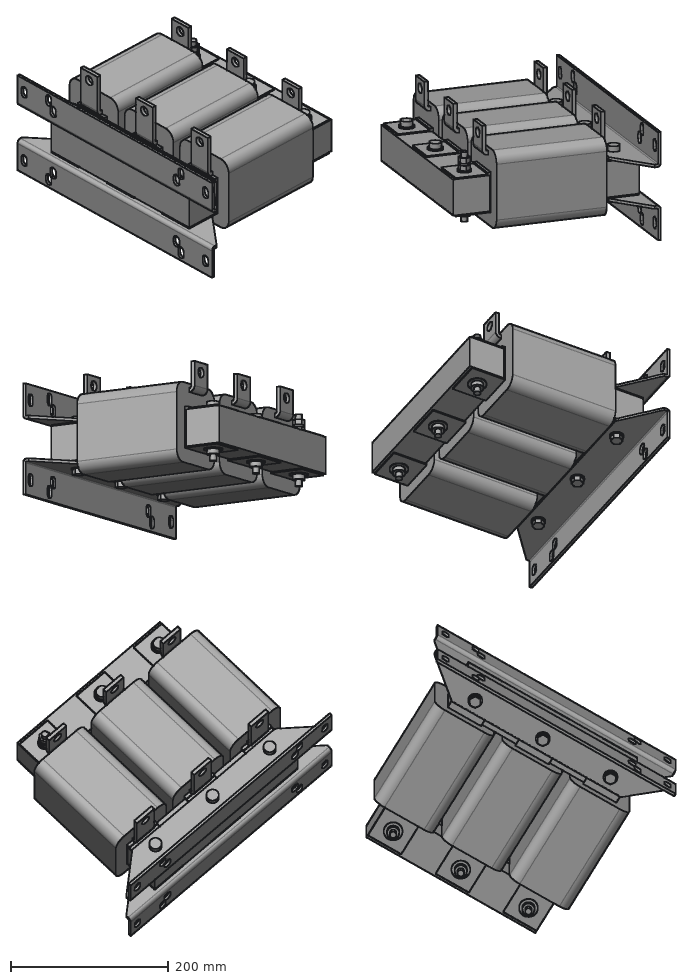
import cadquery as cq
import math


LEG_PITCH = 100.0
YOKE_DEPTH = 50.0
YOKE_OVERHANG = 0.5
LEG_WIDTH = YOKE_DEPTH - 2 * YOKE_OVERHANG
CORE_HEIGHT = 48.0
CORE_FRONT = 9.5
CORE_BACK = 263.5
CORE_LENGTH = 2 * (LEG_PITCH + YOKE_OVERHANG) + LEG_WIDTH
CORE_TOP = CORE_HEIGHT / 2
CORE_MIDDLE = (CORE_FRONT + CORE_BACK) / 2
LEG_CENTRES = (-LEG_PITCH, 0, LEG_PITCH)
FRONT_BOLT_Y = CORE_FRONT + YOKE_DEPTH / 2
REAR_BOLT_Y = CORE_BACK - YOKE_DEPTH / 2

STRIP_THICKNESS = 1.8
STRIP_FRONT = 10.0
STRIP_BACK = 260.0
STRIP_TOP = CORE_TOP + STRIP_THICKNESS

COIL_WIDTH = 88
COIL_LENGTH = 150.5
COIL_TOP = 59.0
COIL_BOTTOM = -44.7
COIL_RADIUS = 14.8
COIL_FRONT = CORE_MIDDLE - COIL_LENGTH / 2
COIL_BACK = CORE_MIDDLE + COIL_LENGTH / 2
LIP_REACH = 4.5
LIP_THICKNESS = 2.0

TAB_WIDTH = 30.3
TAB_THICKNESS = 5.3
TAB_TOP = 87.5
TAB_REACH = 8.5
TAB_BEND_RADIUS = 7.7
TAB_HOLE_DIAMETER = 12.5
TAB_HOLE_DROP = 12.5
TAB_OVERLAP = 3.5
FRONT_TAB_BOTTOM = STRIP_TOP + LIP_THICKNESS
REAR_TAB_BOTTOM = 48.2

BRACKET_LENGTH = 352
BRACKET_THICKNESS = 4.0
BRACKET_BEND_RADIUS = 5.3
FLANGE_EDGE = 71.8
SHEET_BACK = 51.0
TAPER_FRONT = 8.5
SLOT_LENGTH = 16.0
FLANGE_SLOTS = (
    (164.0, 51.7, 9.5),
    (119.7, 60, 9.5),
    (111.5, 46.5, 10.5),
)

BOLT_DIAMETER = 8.5
HEAD_DIAMETER = 16.0
HEAD_HEIGHT = 7.5
NUT_FLATS = 13.5
NUT_HEIGHT = 7
THIN_WASHER = 1.0
THICK_WASHER = 1.8
FRONT_WASHER_DIAMETER = 18.0
REAR_WASHER_DIAMETER = 20.5
LOWER_WASHER_DIAMETER = 24.0
SPACER_DIAMETER = 16.0
SPACER_HEIGHT = 2.8
LOWER_COLLAR_HEIGHT = 6.5
STUD_TOP = 51.5
STUD_BOTTOM = -41.2


def block(x, width, y_start, y_end, z_start, z_end):
    """Box centred on x, between the given Y and Z limits."""
    size = (width, y_end - y_start, z_end - z_start)
    corner = (x - width / 2, y_start, z_start)
    return cq.Workplane("XY").box(*size, centered=False).translate(corner)


def disc(x, y, z, diameter, height):
    """Upright cylinder standing on z."""
    return cq.Workplane("XY", origin=(x, y, z)).circle(diameter / 2).extrude(height)


def nut(x, y, z):
    """Upright hexagon standing on z, with two corners along X."""
    corner_diameter = NUT_FLATS / math.cos(math.pi / 6)
    return cq.Workplane("XY", origin=(x, y, z)).polygon(6, corner_diameter).extrude(NUT_HEIGHT)


def round_edge(body, midpoint, radius):
    """Fillet the edge whose middle is at the given point."""
    return body.edges(cq.selectors.NearestToPointSelector(midpoint)).fillet(radius)


def make_core():
    """Front and rear yokes joined by three legs."""
    core = block(0, CORE_LENGTH, CORE_FRONT, CORE_FRONT + YOKE_DEPTH, -CORE_TOP, CORE_TOP)
    core = core.union(block(0, CORE_LENGTH, CORE_BACK - YOKE_DEPTH, CORE_BACK, -CORE_TOP, CORE_TOP))
    for x in LEG_CENTRES:
        core = core.union(block(x, LEG_WIDTH, STRIP_FRONT, STRIP_BACK, -STRIP_TOP, STRIP_TOP))
    return core


def make_coil(x):
    """Rounded coil around a leg, with a thin lip above the strip at each end."""
    coil = block(x, COIL_WIDTH, COIL_FRONT, COIL_BACK, COIL_BOTTOM, COIL_TOP)
    coil = coil.edges("|Y").fillet(COIL_RADIUS)
    lip = block(
        x, LEG_WIDTH, COIL_FRONT - LIP_REACH, COIL_BACK + LIP_REACH, STRIP_TOP, STRIP_TOP + LIP_THICKNESS
    )
    return coil.union(lip)


def make_tab(x, bottom):
    """Bent terminal tab leaving the front face of a coil, with its foot at the given height."""
    outer = COIL_FRONT - TAB_REACH
    inner = outer + TAB_THICKNESS
    root = COIL_FRONT + TAB_OVERLAP
    tab = block(x, TAB_WIDTH, outer, root, bottom, TAB_TOP)
    tab = tab.cut(block(x, TAB_WIDTH, inner, root, bottom + TAB_THICKNESS, TAB_TOP))
    tab = round_edge(tab, (x, outer, bottom), TAB_BEND_RADIUS)
    inner_radius = TAB_BEND_RADIUS - TAB_THICKNESS
    tab = round_edge(tab, (x, inner, bottom + TAB_THICKNESS), inner_radius)
    hole = cq.Workplane("XZ", origin=(x, root, TAB_TOP - TAB_HOLE_DROP))
    return tab.cut(hole.circle(TAB_HOLE_DIAMETER / 2).extrude(root - outer))


def make_upper_bracket():
    """Tapered sheet on the front yoke, bent up into a slotted mounting flange."""
    bottom = STRIP_TOP
    sheet_top = bottom + BRACKET_THICKNESS
    bracket = block(0, BRACKET_LENGTH, 0, SHEET_BACK, bottom, FLANGE_EDGE)
    bracket = bracket.cut(block(0, BRACKET_LENGTH, BRACKET_THICKNESS, SHEET_BACK, sheet_top, FLANGE_EDGE))
    bracket = round_edge(bracket, (0, 0, bottom), BRACKET_BEND_RADIUS)
    inner_radius = BRACKET_BEND_RADIUS - BRACKET_THICKNESS
    bracket = round_edge(bracket, (0, BRACKET_THICKNESS, sheet_top), inner_radius)
    outline = cq.Workplane("XY", origin=(0, 0, bottom)).polyline([
        (-BRACKET_LENGTH / 2, 0),
        (BRACKET_LENGTH / 2, 0),
        (BRACKET_LENGTH / 2, TAPER_FRONT),
        (CORE_LENGTH / 2, SHEET_BACK),
        (-CORE_LENGTH / 2, SHEET_BACK),
        (-BRACKET_LENGTH / 2, TAPER_FRONT),
    ]).close().extrude(FLANGE_EDGE - bottom)
    bracket = bracket.intersect(outline)
    for x, z, width in FLANGE_SLOTS:
        slots = cq.Workplane("XZ").pushPoints([(-x, z), (x, z)]).slot2D(SLOT_LENGTH, width, 90)
        bracket = bracket.cut(slots.extrude(-BRACKET_THICKNESS))
    return bracket


def make_front_bolt(x):
    """Bolt through both brackets: round head above, washer and nut below."""
    y = FRONT_BOLT_Y
    seat = STRIP_TOP + BRACKET_THICKNESS
    washer_bottom = -seat - THIN_WASHER
    head = disc(x, y, seat, HEAD_DIAMETER, HEAD_HEIGHT)
    washer = disc(x, y, washer_bottom, FRONT_WASHER_DIAMETER, THIN_WASHER)
    return head.union(washer).union(nut(x, y, washer_bottom - NUT_HEIGHT))


def make_rear_underside(x):
    """Washer, round collar and bolt end below the rear yoke."""
    y = REAR_BOLT_Y
    washer_bottom = -STRIP_TOP - THIN_WASHER
    collar_bottom = washer_bottom - LOWER_COLLAR_HEIGHT
    washer = disc(x, y, washer_bottom, LOWER_WASHER_DIAMETER, THIN_WASHER)
    collar = disc(x, y, collar_bottom, HEAD_DIAMETER, LOWER_COLLAR_HEIGHT)
    end = disc(x, y, STUD_BOTTOM, BOLT_DIAMETER, collar_bottom - STUD_BOTTOM)
    return washer.union(collar).union(end)


def make_rear_bolt(x):
    """Washer and round head above the rear yoke."""
    washer = disc(x, REAR_BOLT_Y, STRIP_TOP, REAR_WASHER_DIAMETER, THICK_WASHER)
    head = disc(x, REAR_BOLT_Y, STRIP_TOP + THICK_WASHER, HEAD_DIAMETER, HEAD_HEIGHT)
    return washer.union(head)


def make_earth_stud(x):
    """Stud above the rear yoke with a washer, a nut, a spacer and a second nut."""
    y = REAR_BOLT_Y
    lower_nut = STRIP_TOP + THICK_WASHER
    spacer = lower_nut + NUT_HEIGHT
    upper_nut = spacer + SPACER_HEIGHT
    stud = disc(x, y, STRIP_TOP, BOLT_DIAMETER, STUD_TOP - STRIP_TOP)
    stud = stud.union(disc(x, y, STRIP_TOP, FRONT_WASHER_DIAMETER, THICK_WASHER))
    stud = stud.union(nut(x, y, lower_nut))
    stud = stud.union(disc(x, y, spacer, SPACER_DIAMETER, SPACER_HEIGHT))
    return stud.union(nut(x, y, upper_nut))


result = make_core()

for leg_x in LEG_CENTRES:
    front_tab = make_tab(leg_x, FRONT_TAB_BOTTOM)
    rear_tab = make_tab(leg_x, REAR_TAB_BOTTOM).mirror("XZ", (0, CORE_MIDDLE, 0))
    result = result.union(make_coil(leg_x)).union(front_tab).union(rear_tab)

upper_bracket = make_upper_bracket()
result = result.union(upper_bracket).union(upper_bracket.mirror("XY"))

for leg_x in LEG_CENTRES:
    result = result.union(make_front_bolt(leg_x)).union(make_rear_underside(leg_x))

result = result.union(make_earth_stud(LEG_CENTRES[0]))
for leg_x in LEG_CENTRES[1:]:
    result = result.union(make_rear_bolt(leg_x))